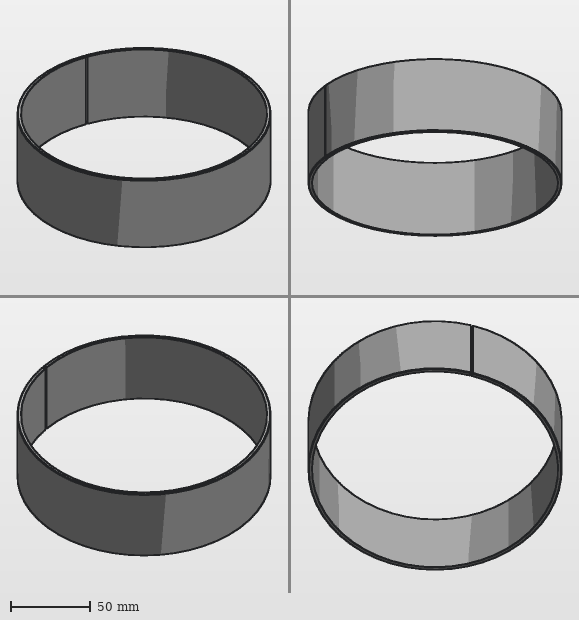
import cadquery as cq

outer_diameter = 160.0
wall_thickness = 2.5
height = 50.0
outer_chamfer = 0.5
inner_chamfer = 0.2
gap_angle = 1.0

outer_radius = outer_diameter / 2
inner_radius = outer_radius - wall_thickness


def wall_section():
    """Cross-section of the wall on the -X side, with all four corners chamfered."""
    return (
        cq.Workplane("XZ")
        .moveTo(-inner_radius - inner_chamfer, 0)
        .lineTo(-outer_radius + outer_chamfer, 0)
        .lineTo(-outer_radius, outer_chamfer)
        .lineTo(-outer_radius, height - outer_chamfer)
        .lineTo(-outer_radius + outer_chamfer, height)
        .lineTo(-inner_radius - inner_chamfer, height)
        .lineTo(-inner_radius, height - inner_chamfer)
        .lineTo(-inner_radius, inner_chamfer)
        .close()
    )


def split_ring():
    """Wall swept about Z from -X through -Y, stopping short of a full turn to leave a gap on the +Y side."""
    axis_start = (0, 0, 0)
    axis_end = (0, 1, 0)
    return wall_section().revolve(360 - gap_angle, axis_start, axis_end)


result = split_ring()